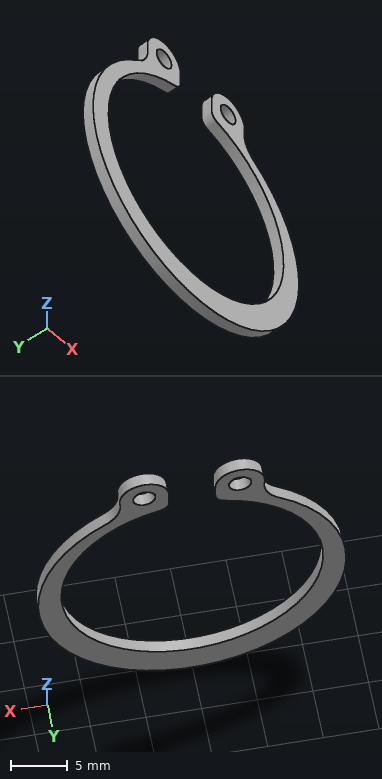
import math

import cadquery as cq


thickness = 1.2
bore_radius = 11.75
outer_radius = 13.835
bottom_width = 3.0
gap_half_width = 2.08
lug_radius = 2.22
lug_center_z = 13.74
lug_hole_diameter = 2.0
neck_radius = 3.0
tip_radius = 1.0

back_face = (0, thickness / 2, 0)

bore_center = (0, 0)
ring_bottom_z = -(bore_radius + bottom_width)
outer_center = (0, ring_bottom_z + outer_radius)
lug_center = (gap_half_width + lug_radius, lug_center_z)


def toward(start, target, distance):
    """Point at a distance from start on the ray through target."""
    dx = target[0] - start[0]
    dz = target[1] - start[1]
    length = math.hypot(dx, dz)
    return (start[0] + distance * dx / length, start[1] + distance * dz / length)


def midpoint(a, b):
    return ((a[0] + b[0]) / 2, (a[1] + b[1]) / 2)


def right_crossing(center_a, radius_a, center_b, radius_b):
    """Intersection of two circles, to the right when looking from a to b."""
    dx = center_b[0] - center_a[0]
    dz = center_b[1] - center_a[1]
    span = math.hypot(dx, dz)
    along = (radius_a**2 - radius_b**2 + span**2) / (2 * span)
    aside = math.sqrt(radius_a**2 - along**2)
    x = center_a[0] + (along * dx + aside * dz) / span
    z = center_a[1] + (along * dz - aside * dx) / span
    return (x, z)


def mirrored(point):
    return (-point[0], point[1])


def ring_body():
    """Ring with both lugs, symmetric about the YZ plane and the XZ plane."""
    neck_center = right_crossing(
        outer_center, outer_radius + neck_radius, lug_center, lug_radius + neck_radius
    )
    neck_start = toward(outer_center, neck_center, outer_radius)
    neck_end = toward(lug_center, neck_center, lug_radius)
    neck_mid = toward(neck_center, midpoint(neck_start, neck_end), neck_radius)

    tip_x = gap_half_width + tip_radius
    tip_z = math.sqrt((bore_radius + tip_radius) ** 2 - tip_x**2)
    tip_center = (tip_x, tip_z)
    tip_start = (gap_half_width, tip_z)
    tip_end = toward(bore_center, tip_center, bore_radius)
    tip_mid = toward(tip_center, midpoint(tip_start, tip_end), tip_radius)

    ring_bottom = (0, ring_bottom_z)
    bore_bottom = (0, -bore_radius)
    lug_top = (lug_center[0], lug_center_z + lug_radius)
    flat_top = (gap_half_width, lug_center_z)

    profile = (
        cq.Workplane("XZ", origin=back_face)
        .moveTo(*mirrored(neck_start))
        .threePointArc(ring_bottom, neck_start)
        .threePointArc(neck_mid, neck_end)
        .threePointArc(lug_top, flat_top)
        .lineTo(*tip_start)
        .threePointArc(tip_mid, tip_end)
        .threePointArc(bore_bottom, mirrored(tip_end))
        .threePointArc(mirrored(tip_mid), mirrored(tip_start))
        .lineTo(*mirrored(flat_top))
        .threePointArc(mirrored(lug_top), mirrored(neck_end))
        .threePointArc(mirrored(neck_mid), mirrored(neck_start))
        .close()
    )
    return profile.extrude(thickness)


def lug_holes():
    """Cutters for the plier holes, concentric with the lugs."""
    return (
        cq.Workplane("XZ", origin=back_face)
        .pushPoints([lug_center, mirrored(lug_center)])
        .circle(lug_hole_diameter / 2)
        .extrude(thickness)
    )


result = ring_body().cut(lug_holes())